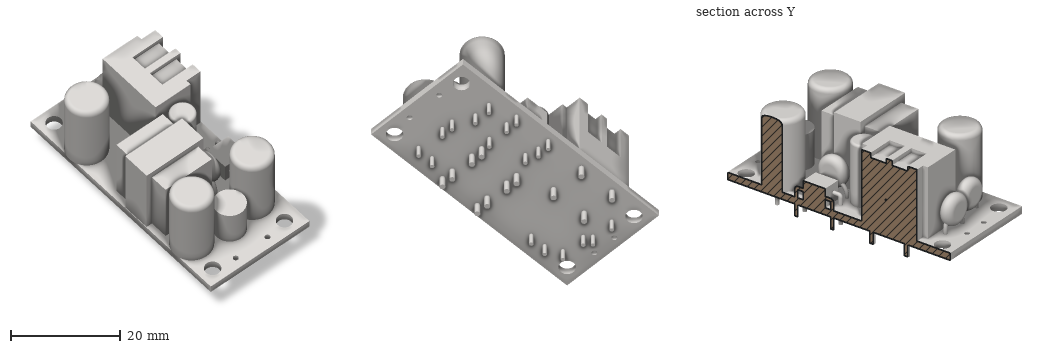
import cadquery as cq
import math


BOARD_X = 51.0
BOARD_Y = 23.75
BOARD_T = 1.6
MOUNT_HOLE_D = 3.2
MOUNT_HOLE_INSET = 3.05
MOUNT_PITCH_X = BOARD_X - 2 * MOUNT_HOLE_INSET
MOUNT_PITCH_Y = 17.3
WIRE_HOLE_D = 1.1
WIRE_HOLES = [(2.0, 9.05), (2.0, 14.2), (48.85, 7.85), (48.85, 15.5)]

PIN_LENGTH = 2.5
THIN_PIN_D = 0.8
THICK_PIN_D = 1.1

TALL_H = 15.0

BIG_CAP_D = 8.3
BIG_CAP_ROUND = 1.0
BIG_CAP_PIN_PITCH = 3.5
BIG_CAPS = [
    ((11.4, 3.81), "X"),
    ((40.9, 4.0), "X"),
    ((40.83, 18.62), "Y"),
]

SMALL_CAP_D = 5.14
SMALL_CAP_H = 13.0
SMALL_CAP_ROUND = 0.5
SMALL_CAP_AT = (24.33, 15.9)

CHOKE_D = 6.3
CHOKE_H = 7.5
CHOKE_AT = (42.8, 11.54)
CHOKE_PIN_PITCH = 2.5

DISC_D = 6.5
DISC_T = 2.8
DISC_Z = 4.05
LEAD_STRAIGHT = 0.45
LEAD_END_R = 2.2
LEAD_END_Z = 2.3
DISC_CAPS = [
    ((5.08, 14.17), "X", (0.07, 2.5)),
    ((6.35, 7.86), "X", (-0.1, 2.53)),
    ((31.33, 15.7), "Y", (3.7, -0.98)),
]

FILTER_X = 14.0
FILTER_FRONT_Y = 11.8
FILTER_STEP_Y = 20.2
FILTER_BACK_Y = 23.55
FILTER_W = 15.0
FILTER_NECK_W = 12.8
SLOT_W = 3.5
SLOT_PITCH = 4.93
SLOT_FRONT_Y = 16.2
SLOT_DEPTH = 1.0
NOTCH_FRONT_Y = 22.55
NOTCH_DEPTH = 8.0
FILTER_PIN_X = 14.12
FILTER_PIN_PITCH_X = 7.96
FILTER_PIN_YS = (14.5, 21.7)

WINDING_X = (22.65, 36.55)
WINDING_LENGTH = 11.15
WINDING_H = 13.5
CORE_X = (26.65, 32.7)
CORE_LENGTH = 13.7
TRANSFORMER_Y = 6.98
TRANSFORMER_PIN_XS = (25.27, 34.35)
PIN_GRID = 2.54
TRANSFORMER_PIN_ROWS = (-2, -1, 1, 2)

OPTO_AT = (31.15, 20.72)
OPTO_SIDE = 5.1
OPTO_H = 4.0
OPTO_LEG_SPAN = 8.25
OPTO_LEG_Z = 2.0
OPTO_LEG_BEND = 0.5


def block(x_range, y_range, z_range):
    """Box between the given limits."""
    sizes = [high - low for low, high in (x_range, y_range, z_range)]
    return cq.Workplane("XY").box(*sizes, centered=False).translate(
        (x_range[0], y_range[0], z_range[0])
    )


def span(centre, length):
    """Limits of a length placed evenly about its centre."""
    return (centre - length / 2, centre + length / 2)


def upright(at, diameter, height):
    """Cylinder standing on the board."""
    return cq.Workplane("XY").center(*at).circle(diameter / 2).extrude(height)


def pins(points, diameter):
    """Pins running down through the board."""
    return (
        cq.Workplane("XY")
        .pushPoints(points)
        .circle(diameter / 2)
        .extrude(-(BOARD_T + PIN_LENGTH))
    )


def offset_pair(at, offset):
    """Two points on opposite sides of a centre."""
    return [(at[0] + sign * offset[0], at[1] + sign * offset[1]) for sign in (1, -1)]


def make_board():
    mounting_holes = (
        cq.Workplane("XY")
        .center(BOARD_X / 2, MOUNT_HOLE_INSET + MOUNT_PITCH_Y / 2)
        .rect(MOUNT_PITCH_X, MOUNT_PITCH_Y, forConstruction=True)
        .vertices()
        .circle(MOUNT_HOLE_D / 2)
        .extrude(-BOARD_T)
    )
    wire_holes = (
        cq.Workplane("XY").pushPoints(WIRE_HOLES).circle(WIRE_HOLE_D / 2).extrude(-BOARD_T)
    )
    board = block((0, BOARD_X), (0, BOARD_Y), (-BOARD_T, 0))
    return board.cut(mounting_holes).cut(wire_holes)


def make_big_cap(at, pin_direction):
    can = upright(at, BIG_CAP_D, TALL_H).faces(">Z").edges().fillet(BIG_CAP_ROUND)
    half_pitch = BIG_CAP_PIN_PITCH / 2
    offset = (half_pitch, 0) if pin_direction == "X" else (0, half_pitch)
    return can.union(pins(offset_pair(at, offset), THIN_PIN_D))


def make_small_cap():
    can = upright(SMALL_CAP_AT, SMALL_CAP_D, SMALL_CAP_H)
    return can.faces(">Z").edges().fillet(SMALL_CAP_ROUND)


def make_choke():
    body = upright(CHOKE_AT, CHOKE_D, CHOKE_H)
    return body.union(pins(offset_pair(CHOKE_AT, (0, CHOKE_PIN_PITCH / 2)), THIN_PIN_D))


def make_disc(at, axis):
    """Disc with a fully rounded rim, standing on edge."""
    half_t = DISC_T / 2
    flat_r = DISC_D / 2 - half_t
    disc = (
        cq.Workplane("XZ")
        .moveTo(0, -half_t)
        .lineTo(flat_r, -half_t)
        .threePointArc((DISC_D / 2, 0), (flat_r, half_t))
        .lineTo(0, half_t)
        .close()
        .revolve(360, (0, 0, 0), (0, 1, 0))
    )
    if axis == "X":
        disc = disc.rotate((0, 0, 0), (0, 1, 0), 90)
    else:
        disc = disc.rotate((0, 0, 0), (1, 0, 0), 90)
    return disc.translate((at[0], at[1], DISC_Z))


def make_disc_lead(at, foot):
    """Lead rising straight from the board, then curving towards the disc's centre and into it."""
    to_centre = (at[0] - foot[0], at[1] - foot[1])
    distance = math.hypot(*to_centre)
    direction = (to_centre[0] / distance, to_centre[1] / distance)
    curve_plane = cq.Plane(
        origin=(foot[0], foot[1], 0),
        xDir=(direction[0], direction[1], 0),
        normal=(direction[1], -direction[0], 0),
    )
    path = (
        cq.Workplane(curve_plane)
        .lineTo(0, LEAD_STRAIGHT)
        .tangentArcPoint((distance - LEAD_END_R, LEAD_END_Z), relative=False)
    )
    return cq.Workplane("XY").center(*foot).circle(THIN_PIN_D / 2).sweep(path)


def make_disc_cap(at, axis, lead_offset):
    feet = offset_pair(at, lead_offset)
    cap = make_disc(at, axis).union(pins(feet, THIN_PIN_D))
    for foot in feet:
        cap = cap.union(make_disc_lead(at, foot))
    return cap


def make_filter():
    height = (0, TALL_H)
    body = block(span(FILTER_X, FILTER_W), (FILTER_FRONT_Y, FILTER_STEP_Y), height)
    neck = block(span(FILTER_X, FILTER_NECK_W), (FILTER_STEP_Y, FILTER_BACK_Y), height)
    body = body.union(neck)
    for slot_x in span(FILTER_X, SLOT_PITCH):
        slot_range = span(slot_x, SLOT_W)
        slot = block(slot_range, (SLOT_FRONT_Y, FILTER_BACK_Y), (TALL_H - SLOT_DEPTH, TALL_H))
        notch = block(slot_range, (NOTCH_FRONT_Y, FILTER_BACK_Y), (TALL_H - NOTCH_DEPTH, TALL_H))
        body = body.cut(slot).cut(notch)
    pin_points = [(x, y) for x in span(FILTER_PIN_X, FILTER_PIN_PITCH_X) for y in FILTER_PIN_YS]
    return body.union(pins(pin_points, THICK_PIN_D))


def make_transformer():
    winding = block(WINDING_X, span(TRANSFORMER_Y, WINDING_LENGTH), (0, WINDING_H))
    core = block(CORE_X, span(TRANSFORMER_Y, CORE_LENGTH), (0, TALL_H))
    pin_points = [
        (x, TRANSFORMER_Y + row * PIN_GRID)
        for x in TRANSFORMER_PIN_XS
        for row in TRANSFORMER_PIN_ROWS
    ]
    return winding.union(core).union(pins(pin_points, THICK_PIN_D))


def make_opto_leg(y, side):
    """Leg leaving the body sideways and bending down into the board."""
    foot_x = OPTO_AT[0] + side * OPTO_LEG_SPAN / 2
    bend_start_x = foot_x - side * OPTO_LEG_BEND
    path = (
        cq.Workplane("XZ", origin=(0, y, 0))
        .moveTo(foot_x, 0)
        .lineTo(foot_x, OPTO_LEG_Z - OPTO_LEG_BEND)
        .tangentArcPoint((bend_start_x, OPTO_LEG_Z), relative=False)
        .lineTo(OPTO_AT[0] + side * OPTO_SIDE / 4, OPTO_LEG_Z)
    )
    leg = cq.Workplane("XY").center(foot_x, y).circle(THIN_PIN_D / 2).sweep(path)
    return leg.union(pins([(foot_x, y)], THIN_PIN_D))


def make_optocoupler():
    body = block(span(OPTO_AT[0], OPTO_SIDE), span(OPTO_AT[1], OPTO_SIDE), (0, OPTO_H))
    for y in span(OPTO_AT[1], PIN_GRID):
        for side in (-1, 1):
            body = body.union(make_opto_leg(y, side))
    return body


module = make_board()
for component in (make_filter(), make_transformer(), make_optocoupler(), make_small_cap(), make_choke()):
    module = module.union(component)
for cap_at, cap_pin_direction in BIG_CAPS:
    module = module.union(make_big_cap(cap_at, cap_pin_direction))
for disc_at, disc_axis, disc_lead_offset in DISC_CAPS:
    module = module.union(make_disc_cap(disc_at, disc_axis, disc_lead_offset))

result = module